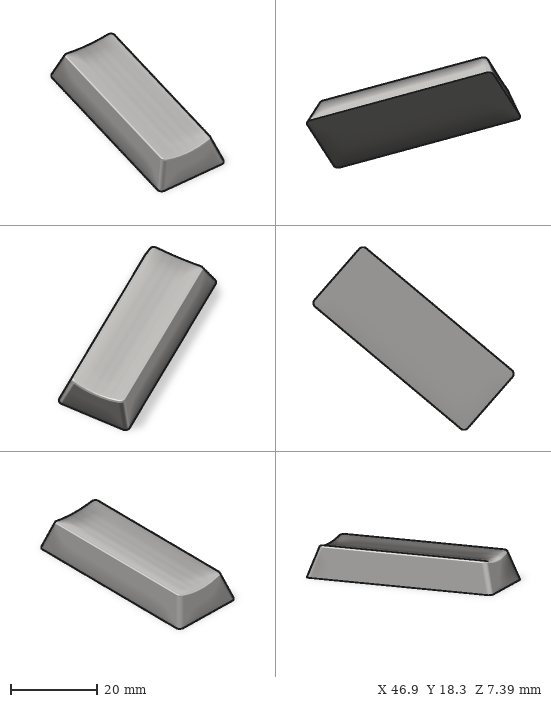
import cadquery as cq

base_length = 46.88
base_width = 18.3
draft_angle = 17.75
corner_radius = 1.25
rim_radius = 0.6

dish_floor_height = 6.5
dish_radius = 22.4

block_height = 8.5
cutter_length = base_length + 2.0


def make_drafted_block():
    """Block with four sloping sides and rounded sloping corner edges."""
    block = (
        cq.Workplane("XY")
        .rect(base_length, base_width)
        .extrude(block_height, taper=draft_angle)
    )
    sloping_corners = block.edges("not(#Z or |X or |Y)")
    return sloping_corners.fillet(corner_radius)


def make_dish_cutter():
    """Cylinder along X whose lowest line is the floor of the dish."""
    return (
        cq.Workplane("YZ")
        .center(0, dish_floor_height + dish_radius)
        .circle(dish_radius)
        .extrude(cutter_length / 2, both=True)
    )


def round_rim(body):
    """Round the closed loop of edges between the dish and the sides."""
    dish_face = body.faces(">Z")
    return dish_face.edges().fillet(rim_radius)


result = round_rim(make_drafted_block().cut(make_dish_cutter()))